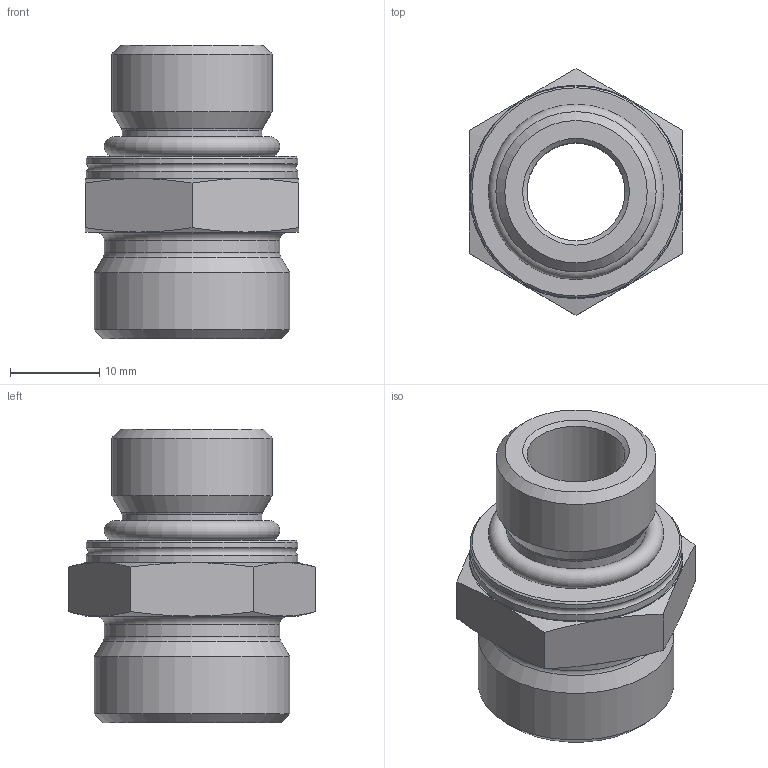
import cadquery as cq
import math

total_length = 33.0
hex_bottom = 12.0
hex_top = 18.0
collar_top = 20.5
lower_thread_top = 7.42
upper_thread_bottom = 25.5

bore_radius = 11.0 / 2
lower_thread_radius = 22.0 / 2
lower_neck_radius = 19.7 / 2
collar_radius = 23.8 / 2
upper_neck_radius = 15.7 / 2
upper_thread_radius = 18.0 / 2

thread_chamfer = 1.0
bore_chamfer = 0.5
collar_chamfer = 0.2
runout_angle = math.radians(30)
lower_runout_fillet = 1.0
upper_runout_fillet = 0.5
hex_root_fillet = 1.0

collar_groove_height = 19.25
collar_groove_half_width = 0.43
collar_groove_depth = 0.24

across_flats = 24.0
across_corners = across_flats / math.cos(math.radians(30))
hex_chamfer_angle = math.radians(15)

ring_outer_radius = 19.7 / 2
ring_section_radius = 2.2 / 2
ring_center_radius = ring_outer_radius - ring_section_radius
ring_center_height = collar_top + ring_section_radius
ring_seat_half_height = math.sqrt(ring_section_radius**2 - (ring_center_radius - upper_neck_radius) ** 2)


def revolve_about_z(profile):
    """Revolve an XZ profile (radius, height) a full turn about the Z axis."""
    return profile.revolve(360, (0, 0, 0), (0, 1, 0))


def runout_rounding(fillet_radius):
    """Fillet between a neck and a runout cone, as (radial rise at the cone, height along the cone side,
    height along the neck side), with heights measured from the sharp corner."""
    tangent_length = fillet_radius * math.tan(runout_angle / 2)
    rise = tangent_length * math.sin(runout_angle)
    return rise, tangent_length * math.cos(runout_angle), tangent_length


def runout_arc_middle(fillet_radius):
    """Radial rise and height past the neck-side end at the middle of the same fillet."""
    half_angle = runout_angle / 2
    return fillet_radius * (1 - math.cos(half_angle)), fillet_radius * math.sin(half_angle)


def make_turned_shape():
    """Threaded ends, necks, runout cones and collar as one revolved outline, solid to the axis."""
    lower_corner = lower_thread_top + (lower_thread_radius - lower_neck_radius) / math.tan(runout_angle)
    upper_corner = upper_thread_bottom - (upper_thread_radius - upper_neck_radius) / math.tan(runout_angle)
    lower_rise, lower_cone_side, lower_neck_side = runout_rounding(lower_runout_fillet)
    upper_rise, upper_cone_side, upper_neck_side = runout_rounding(upper_runout_fillet)
    lower_mid_rise, lower_mid_height = runout_arc_middle(lower_runout_fillet)
    upper_mid_rise, upper_mid_height = runout_arc_middle(upper_runout_fillet)
    lower_neck_start = lower_corner + lower_neck_side
    upper_neck_end = upper_corner - upper_neck_side
    root_arc_inset = hex_root_fillet * (1 - math.sqrt(0.5))

    profile = (
        cq.Workplane("XZ")
        .moveTo(0, 0)
        .lineTo(lower_thread_radius - thread_chamfer, 0)
        .lineTo(lower_thread_radius, thread_chamfer)
        .lineTo(lower_thread_radius, lower_thread_top)
        .lineTo(lower_neck_radius + lower_rise, lower_corner - lower_cone_side)
        .threePointArc(
            (lower_neck_radius + lower_mid_rise, lower_neck_start - lower_mid_height),
            (lower_neck_radius, lower_neck_start),
        )
        .lineTo(lower_neck_radius, hex_bottom - hex_root_fillet)
        .threePointArc(
            (lower_neck_radius + root_arc_inset, hex_bottom - root_arc_inset),
            (lower_neck_radius + hex_root_fillet, hex_bottom),
        )
        .lineTo(collar_radius, hex_bottom)
        .lineTo(collar_radius, collar_groove_height - collar_groove_half_width)
        .threePointArc(
            (collar_radius - collar_groove_depth, collar_groove_height),
            (collar_radius, collar_groove_height + collar_groove_half_width),
        )
        .lineTo(collar_radius, collar_top - collar_chamfer)
        .lineTo(collar_radius - collar_chamfer, collar_top)
        .lineTo(upper_neck_radius, collar_top)
        .lineTo(upper_neck_radius, ring_center_height - ring_seat_half_height)
        .threePointArc(
            (ring_center_radius - ring_section_radius, ring_center_height),
            (upper_neck_radius, ring_center_height + ring_seat_half_height),
        )
        .lineTo(upper_neck_radius, upper_neck_end)
        .threePointArc(
            (upper_neck_radius + upper_mid_rise, upper_neck_end + upper_mid_height),
            (upper_neck_radius + upper_rise, upper_corner + upper_cone_side),
        )
        .lineTo(upper_thread_radius, upper_thread_bottom)
        .lineTo(upper_thread_radius, total_length - thread_chamfer)
        .lineTo(upper_thread_radius - thread_chamfer, total_length)
        .lineTo(0, total_length)
        .close()
    )
    return revolve_about_z(profile)


def make_hexagon():
    """Hexagon with its corners turned off at both ends by shallow cones."""
    prism = (
        cq.Workplane("XY", origin=(0, 0, hex_bottom))
        .transformed(rotate=(0, 0, 90))
        .polygon(6, across_corners)
        .extrude(hex_top - hex_bottom)
    )
    flat_radius = across_flats / 2
    corner_radius = across_corners / 2
    corner_drop = (corner_radius - flat_radius) * math.tan(hex_chamfer_angle)
    turned_envelope = revolve_about_z(
        cq.Workplane("XZ").polyline(
            [
                (0, hex_bottom),
                (flat_radius, hex_bottom),
                (corner_radius, hex_bottom + corner_drop),
                (corner_radius, hex_top - corner_drop),
                (flat_radius, hex_top),
                (0, hex_top),
            ]
        ).close()
    )
    return prism.intersect(turned_envelope)


def make_bore():
    """Straight through bore, widened by a chamfer at the upper end."""
    mouth_radius = bore_radius + bore_chamfer
    return revolve_about_z(
        cq.Workplane("XZ").polyline(
            [
                (0, 0),
                (bore_radius, 0),
                (bore_radius, total_length - bore_chamfer),
                (mouth_radius, total_length),
                (0, total_length),
            ]
        ).close()
    )


def make_sealing_ring():
    """O-ring of round section around the upper neck."""
    return revolve_about_z(
        cq.Workplane("XZ").moveTo(ring_center_radius, ring_center_height).circle(ring_section_radius)
    )


fitting_body = make_turned_shape().union(make_hexagon()).cut(make_bore())
sealing_ring = make_sealing_ring()

result = cq.Compound.makeCompound([fitting_body.solids().val(), sealing_ring.val()])